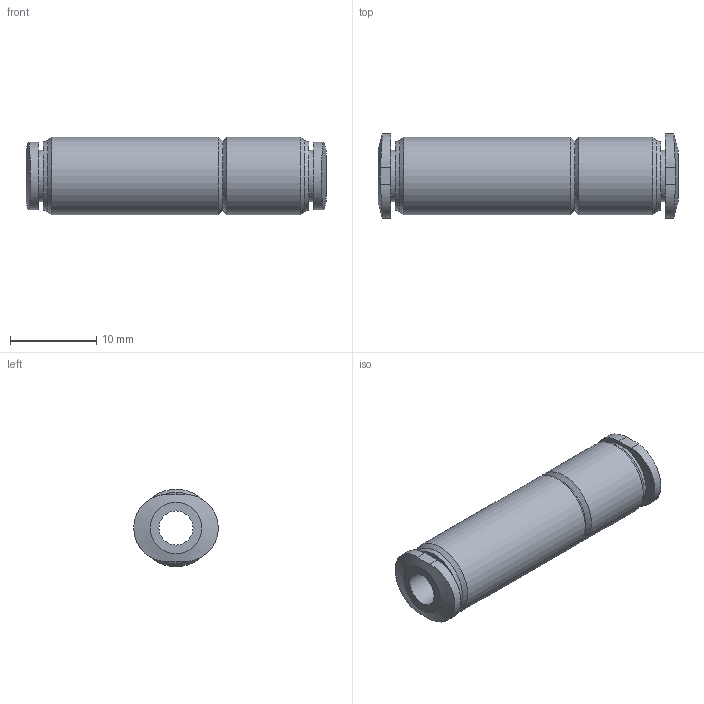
import cadquery as cq
import math


total_length = 34.8
body_diameter = 9.0
bore_diameter = 3.97

ring_width = 9.8
ring_height = 7.8
ring_thickness = 1.5
ring_face_diameter = 5.97
ring_cone_angle = 15.0
neck_diameter = ring_face_diameter
neck_length = 0.5

lip_diameter = 7.9
lip_back_diameter = 8.25
lip_length = 0.5
body_chamfer_length = 0.5

groove_position = 22.8
groove_width = 1.0
groove_diameter = 8.0

body_start = ring_thickness + neck_length
body_end = total_length - body_start


def make_body():
    """Revolve the stepped body profile, groove included, about X."""
    body_radius = body_diameter / 2
    lip_radius = lip_diameter / 2
    lip_back_radius = lip_back_diameter / 2
    lead_in_length = lip_length + body_chamfer_length
    profile = [
        (body_start, 0),
        (body_start, lip_radius),
        (body_start + lip_length, lip_back_radius),
        (body_start + lead_in_length, body_radius),
        (groove_position - groove_width / 2, body_radius),
        (groove_position, groove_diameter / 2),
        (groove_position + groove_width / 2, body_radius),
        (body_end - lead_in_length, body_radius),
        (body_end - lip_length, lip_back_radius),
        (body_end, lip_radius),
        (body_end, 0),
    ]
    return cq.Workplane("XY").polyline(profile).close().revolve(360, (0, 0, 0), (1, 0, 0))


def make_left_ring():
    """Oblong flange with a conical outer face, plus the neck that reaches the body."""
    flange = cq.Workplane("YZ").slot2D(ring_width, ring_height).extrude(ring_thickness)

    face_radius = ring_face_diameter / 2
    cone_radius = ring_width / 2
    cone_depth = (cone_radius - face_radius) * math.tan(math.radians(ring_cone_angle))
    cone_profile = [
        (0, 0),
        (0, face_radius),
        (cone_depth, cone_radius),
        (ring_thickness, cone_radius),
        (ring_thickness, 0),
    ]
    cone = cq.Workplane("XY").polyline(cone_profile).close().revolve(360, (0, 0, 0), (1, 0, 0))

    neck = cq.Workplane("YZ", origin=(ring_thickness, 0, 0)).circle(neck_diameter / 2).extrude(neck_length)
    return flange.intersect(cone).union(neck)


def make_bore():
    """Round passage through the whole part."""
    return cq.Workplane("YZ").circle(bore_diameter / 2).extrude(total_length)


left_ring = make_left_ring()
right_ring = left_ring.mirror("YZ", (total_length / 2, 0, 0))

result = make_body().union(left_ring).union(right_ring).cut(make_bore())